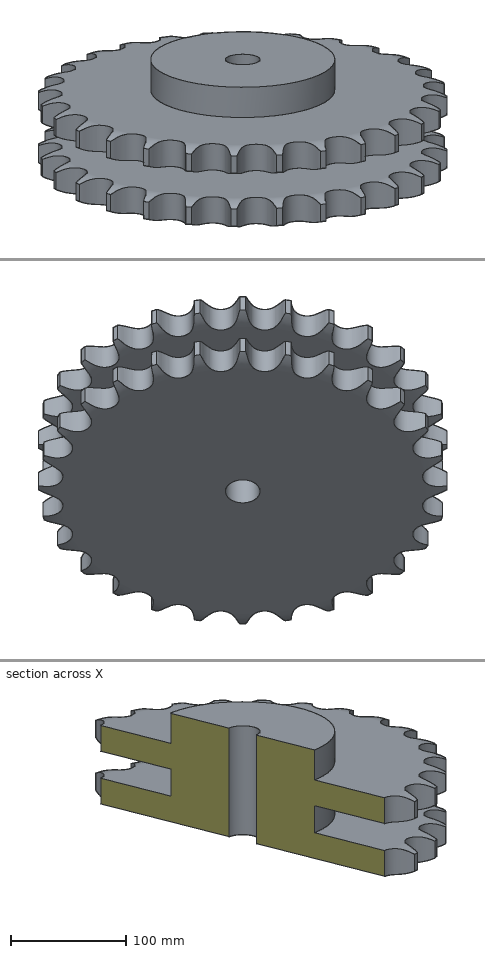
import cadquery as cq
import math


tooth_count = 28
tip_diameter = 355.3
pitch_diameter = 340.5
plate_thickness = 24.0
plate_spacing = 48.5
plate_count = 2
hub_diameter = 160.0
bore_diameter = 30.0
total_height = 100.0
side_relief = 4.2

roller_diameter = 25.5
chain_pitch = pitch_diameter * math.sin(math.pi / tooth_count)

seat_radius = 1.005 * roller_diameter / 2
seat_half_angle = 55 - 60 / tooth_count
working_offset = 0.8 * roller_diameter
working_radius = working_offset + seat_radius
working_sweep = 18 - 56 / tooth_count
topping_offset = 1.4 * roller_diameter
topping_tilt = math.radians(17 - 64 / tooth_count)
working_tilt = math.radians(working_sweep)
flank_length = topping_offset * math.sin(topping_tilt) - working_offset * math.sin(working_tilt)
topping_radius = (
    topping_offset * math.cos(topping_tilt)
    + working_offset * math.cos(working_tilt)
    - working_radius
)
topping_sweep = 15

tip_radius = tip_diameter / 2
side_radius = chain_pitch
side_run = math.sqrt(side_radius**2 - (side_radius - side_relief) ** 2)
flat_radius = tip_radius - side_run


def polar(center, radius, degrees):
    """Point at the given radius and angle from a center."""
    angle = math.radians(degrees)
    return (center[0] + radius * math.cos(angle), center[1] + radius * math.sin(angle))


def mirrored(point):
    """The same point on the other side of the X axis."""
    return (point[0], -point[1])


def plate_blank():
    """Round plate whose faces curve in towards the rim."""
    mid_angle = 90 - math.degrees(math.asin(side_run / side_radius)) / 2
    lower_mid = polar((flat_radius, side_radius), side_radius, -mid_angle)
    upper_mid = polar((flat_radius, plate_thickness - side_radius), side_radius, mid_angle)
    return (
        cq.Workplane("XZ")
        .moveTo(0, 0)
        .lineTo(flat_radius, 0)
        .threePointArc(lower_mid, (tip_radius, side_relief))
        .lineTo(tip_radius, plate_thickness - side_relief)
        .threePointArc(upper_mid, (flat_radius, plate_thickness))
        .lineTo(0, plate_thickness)
        .close()
        .revolve(360, (0, 0), (0, 1))
    )


def tooth_gap():
    """Prism filling the gap between two teeth, centered on the X axis."""
    seat_center = (pitch_diameter / 2, 0)
    seat_bottom = polar(seat_center, seat_radius, 180)
    seat_angle = 180 - seat_half_angle
    seat_end = polar(seat_center, seat_radius, seat_angle)

    working_center = polar(seat_center, working_offset, seat_angle - 180)
    working_mid = polar(working_center, working_radius, seat_angle - working_sweep / 2)
    working_angle = seat_angle - working_sweep
    working_end = polar(working_center, working_radius, working_angle)

    flank_end = polar(working_end, flank_length, working_angle - 90)

    topping_center = polar(flank_end, topping_radius, working_angle)
    topping_angle = working_angle - 180
    topping_mid = polar(topping_center, topping_radius, topping_angle + topping_sweep / 2)
    topping_end = polar(topping_center, topping_radius, topping_angle + topping_sweep)

    return (
        cq.Workplane("XY")
        .moveTo(*topping_end)
        .threePointArc(topping_mid, flank_end)
        .lineTo(*working_end)
        .threePointArc(working_mid, seat_end)
        .threePointArc(seat_bottom, mirrored(seat_end))
        .threePointArc(mirrored(working_mid), mirrored(working_end))
        .lineTo(*mirrored(flank_end))
        .threePointArc(mirrored(topping_mid), mirrored(topping_end))
        .close()
        .extrude(plate_thickness)
        .val()
    )


def toothed_plate():
    """Plate standing on Z = 0 with a gap cut between every two teeth."""
    gap = tooth_gap()
    angles = [index * 360 / tooth_count for index in range(tooth_count)]
    gaps = [gap.rotate((0, 0, 0), (0, 0, 1), angle) for angle in angles]
    return cq.Workplane(plate_blank().val().cut(*gaps))


sprocket = cq.Workplane("XY").circle(hub_diameter / 2).extrude(total_height)
plate = toothed_plate()
for plate_index in range(plate_count):
    sprocket = sprocket.union(plate.translate((0, 0, plate_index * plate_spacing)))

bore = cq.Workplane("XY").circle(bore_diameter / 2).extrude(total_height)

result = sprocket.cut(bore)